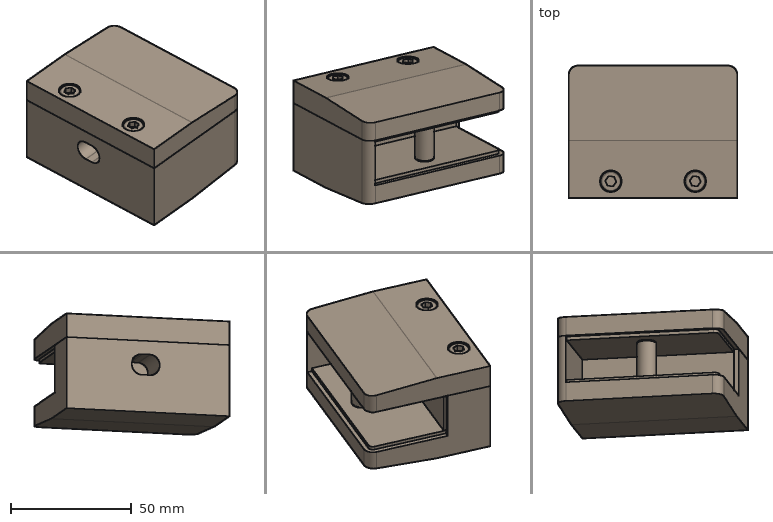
import cadquery as cq
import math

WIDTH = 70.0
DEPTH = 55.0
HEIGHT = 40.0
JAW_THICKNESS = 10.0
CORNER_RADIUS = 4.0
TAPER_START = 24.0
TAPER_DROP = 2.0

FRONT_WALL = 19.0
SIDE_WALL = 4.0
LID_SEAT = HEIGHT - JAW_THICKNESS
GAP_HEIGHT = LID_SEAT - JAW_THICKNESS

PAD_THICKNESS = 1.5
PAD_INSET = 2.0
BACK_PAD_THICKNESS = 1.0
PAD_LEFT = -WIDTH / 2 + PAD_INSET
PAD_RIGHT = WIDTH / 2 - SIDE_WALL
PAD_WIDTH = PAD_RIGHT - PAD_LEFT
PAD_DEPTH = DEPTH - PAD_INSET - FRONT_WALL
PAD_CORNER_RADIUS = CORNER_RADIUS - PAD_INSET
PAD_CENTER_X = (PAD_LEFT + PAD_RIGHT) / 2
CLEAR_GAP = GAP_HEIGHT - 2 * PAD_THICKNESS
CLEAR_GAP_BOTTOM = JAW_THICKNESS + PAD_THICKNESS

OBLONG_LENGTH = 12.0
OBLONG_HEIGHT = 8.7

PIN_DIAMETER = 8.0
PIN_NECK_DIAMETER = 7.0
PIN_NECK_LENGTH = 0.5
PIN_Y = 44.0

SCREW_SPACING = 35.0
SCREW_POSITIONS = (-SCREW_SPACING / 2, SCREW_SPACING / 2)
SCREW_Y = 7.0
HEAD_DIAMETER = 8.5
HEAD_HEIGHT = 5.0
HEAD_FILLET = 0.5
HEAD_RECESS = 0.3
COUNTERBORE_DIAMETER = 9.0
SHANK_DIAMETER = 5.0
SHANK_LENGTH = 20.0
SOCKET_FLATS = 4.0
SOCKET_DEPTH = 2.5
SOCKET_TURN = -6.0
HEAD_TOP = HEIGHT - HEAD_RECESS
HEAD_SEAT = HEAD_TOP - HEAD_HEIGHT


def clamp_envelope():
    """Whole clamp block, tapered toward the open end, with rounded vertical corners there."""
    profile = [
        (0, 0),
        (TAPER_START, 0),
        (DEPTH, TAPER_DROP),
        (DEPTH, HEIGHT - TAPER_DROP),
        (TAPER_START, HEIGHT),
        (0, HEIGHT),
    ]
    block = cq.Workplane("YZ").polyline(profile).close().extrude(WIDTH / 2, both=True)
    return block.edges("|Z and >Y").fillet(CORNER_RADIUS)


def box_from(x, y, z, width, depth, height):
    """Box with its lowest corner at (x, y, z)."""
    return cq.Workplane("XY").box(width, depth, height, centered=False).translate((x, y, z))


def screw_cylinder(x, diameter, bottom, length):
    """Upright cylinder on a screw axis."""
    return cq.Workplane("XY", origin=(x, SCREW_Y, bottom)).circle(diameter / 2).extrude(length)


def make_base():
    lower = box_from(-WIDTH / 2, 0, 0, WIDTH, DEPTH, LID_SEAT)
    base = clamp_envelope().intersect(lower)
    gap = box_from(
        -WIDTH / 2, FRONT_WALL, JAW_THICKNESS, WIDTH - SIDE_WALL, DEPTH - FRONT_WALL, GAP_HEIGHT
    )
    oblong = (
        cq.Workplane("XZ", origin=(PAD_CENTER_X, 0, HEIGHT / 2))
        .slot2D(OBLONG_LENGTH, OBLONG_HEIGHT)
        .extrude(-FRONT_WALL)
    )
    base = base.cut(gap).cut(oblong)
    for x in SCREW_POSITIONS:
        base = base.cut(screw_cylinder(x, SHANK_DIAMETER, HEAD_SEAT - SHANK_LENGTH, SHANK_LENGTH))
    return base


def make_lid():
    upper = box_from(-WIDTH / 2, 0, LID_SEAT, WIDTH, DEPTH, JAW_THICKNESS)
    lid = clamp_envelope().intersect(upper)
    for x in SCREW_POSITIONS:
        lid = lid.cut(screw_cylinder(x, SHANK_DIAMETER, LID_SEAT, JAW_THICKNESS))
        lid = lid.cut(screw_cylinder(x, COUNTERBORE_DIAMETER, HEAD_SEAT, HEIGHT - HEAD_SEAT))
    return lid


def make_jaw_pad(bottom):
    """Flat liner on one jaw, rounded at its free corner."""
    pad = box_from(PAD_LEFT, FRONT_WALL, bottom, PAD_WIDTH, PAD_DEPTH, PAD_THICKNESS)
    return pad.edges("|Z and >Y and <X").fillet(PAD_CORNER_RADIUS)


def make_back_pad():
    """Liner on the front wall, fitted between the jaw pads."""
    return box_from(
        PAD_LEFT, FRONT_WALL, CLEAR_GAP_BOTTOM, PAD_WIDTH, BACK_PAD_THICKNESS, CLEAR_GAP
    )


def pin_cylinder(diameter, bottom, length):
    """Upright cylinder on the pin axis."""
    return cq.Workplane("XY", origin=(PAD_CENTER_X, PIN_Y, bottom)).circle(diameter / 2).extrude(length)


def make_pin():
    """Pin with a short, thinner neck at each end."""
    core = pin_cylinder(PIN_NECK_DIAMETER, CLEAR_GAP_BOTTOM, CLEAR_GAP)
    barrel_length = CLEAR_GAP - 2 * PIN_NECK_LENGTH
    barrel = pin_cylinder(PIN_DIAMETER, CLEAR_GAP_BOTTOM + PIN_NECK_LENGTH, barrel_length)
    return core.union(barrel)


def make_screw(x):
    """Socket head screw with its head just below the top of the lid."""
    head = screw_cylinder(x, HEAD_DIAMETER, HEAD_SEAT, HEAD_HEIGHT)
    head = head.faces(">Z").edges().fillet(HEAD_FILLET)
    shank = screw_cylinder(x, SHANK_DIAMETER, HEAD_SEAT - SHANK_LENGTH, SHANK_LENGTH)
    socket = (
        cq.Workplane("XY", origin=(x, SCREW_Y, HEAD_TOP))
        .transformed(rotate=(0, 0, SOCKET_TURN))
        .polygon(6, SOCKET_FLATS / math.cos(math.pi / 6))
        .extrude(-SOCKET_DEPTH)
    )
    return head.union(shank).cut(socket)


base = make_base()
lid = make_lid()
jaw_pads = [make_jaw_pad(bottom) for bottom in (JAW_THICKNESS, LID_SEAT - PAD_THICKNESS)]
back_pad = make_back_pad()
pin = make_pin()
screws = [make_screw(x) for x in SCREW_POSITIONS]

result = cq.Compound.makeCompound(
    [
        base.val(),
        lid.val(),
        *[pad.val() for pad in jaw_pads],
        back_pad.val(),
        pin.val(),
        *[screw.val() for screw in screws],
    ]
)